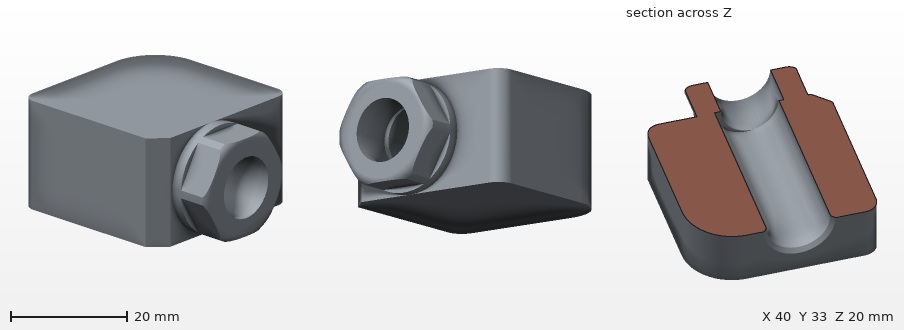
import cadquery as cq

block_length = 32.0
block_width = 33.0
block_height = 20.0
large_corner_radius = 9.0
small_corner_radius = 2.7
corner_chamfer = 3.0

total_length = 40.0
gland_y = 13.5
gland_diameter = 20.0
collar_length = 2.0
hex_across_flats = 18.0
nut_end_diameter = 16.8
nut_edge_radius = 1.85
gland_bore_diameter = 11.2

entry_y = 14.5
entry_diameter = 11.45
countersink_diameter = 12.9
countersink_depth = (countersink_diameter - entry_diameter) / 2

nut_length = total_length - block_length - collar_length


def x_cylinder(diameter, length, x, y):
    """Cylinder along +X starting at the given X and centred at the given Y."""
    return cq.Workplane("YZ", origin=(x, y, 0)).circle(diameter / 2).extrude(length)


def make_block():
    block = cq.Workplane("XY").box(
        block_length, block_width, block_height, centered=(False, False, True)
    )
    block = block.edges("|Z and <X and >Y").fillet(large_corner_radius)
    block = block.edges("|Z").edges(">X and >Y").fillet(small_corner_radius)
    block = block.edges("|Z").edges("<X and <Y").fillet(small_corner_radius)
    return block.edges("|Z").edges(">X and <Y").chamfer(corner_chamfer)


def make_gland():
    """Round collar followed by a hexagonal nut whose corners lie on a cylinder."""
    collar = x_cylinder(gland_diameter, collar_length, block_length, gland_y)
    nut_x = block_length + collar_length
    nut = x_cylinder(gland_diameter, nut_length, nut_x, gland_y)
    blank_diameter = nut_end_diameter + 2 * nut_edge_radius
    blank = x_cylinder(blank_diameter, nut_length, nut_x, gland_y)
    nut = nut.intersect(blank.faces(">X").edges().fillet(nut_edge_radius))
    slab = cq.Workplane("XY").box(
        nut_length, gland_diameter, hex_across_flats, centered=(False, True, True)
    )
    for turn in (0, 60, 120):
        turned_slab = slab.rotate((0, 0, 0), (1, 0, 0), turn)
        nut = nut.intersect(turned_slab.translate((nut_x, gland_y, 0)))
    return collar.union(nut)


def make_entry():
    bore = x_cylinder(entry_diameter, block_length, 0, entry_y)
    countersink = cq.Workplane(
        cq.Solid.makeCone(
            countersink_diameter / 2,
            entry_diameter / 2,
            countersink_depth,
            pnt=cq.Vector(0, entry_y, 0),
            dir=cq.Vector(1, 0, 0),
        )
    )
    return bore.union(countersink)


gland_bore = x_cylinder(gland_bore_diameter, total_length - block_length, block_length, gland_y)
result = make_block().union(make_gland()).cut(make_entry()).cut(gland_bore)